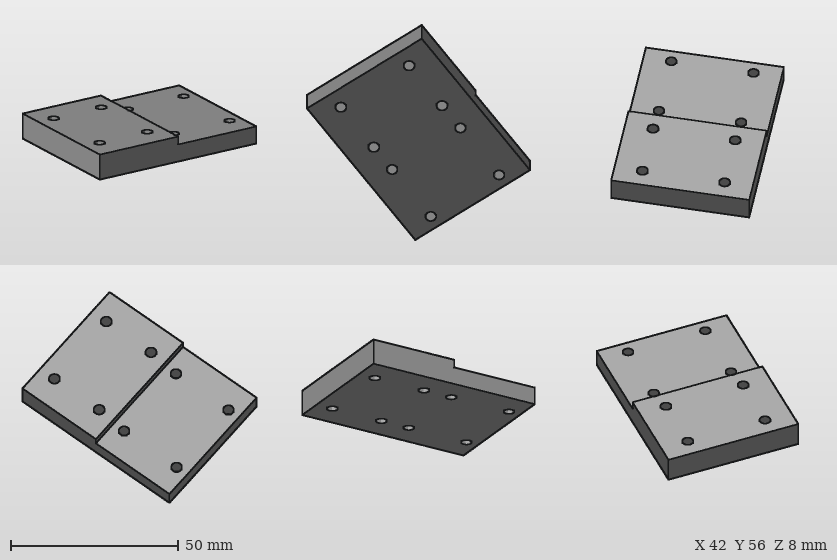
import cadquery as cq

width = 42.0
length = 56.0
front_thickness = 8.0
rear_thickness = 5.5
half_length = length / 2

hole_spacing_x = 25.0
rear_hole_diameter = 3.2
rear_hole_spacing_y = 20.0
rear_hole_center_y = 14.0
front_hole_diameter = 3.3
front_hole_spacing_y = 17.0
front_hole_center_y = -14.0


def half_plate(center_y, thickness):
    """Rectangular block covering one half of the plate's length."""
    block = cq.Workplane("XY").box(width, half_length, thickness, centered=(True, True, False))
    return block.translate((0, center_y, 0))


def hole_group(center_y, spacing_y, diameter):
    """Four vertical cutting cylinders at the corners of a rectangle."""
    return (
        cq.Workplane("XY")
        .center(0, center_y)
        .rect(hole_spacing_x, spacing_y, forConstruction=True)
        .vertices()
        .circle(diameter / 2)
        .extrude(front_thickness)
    )


front_half = half_plate(-half_length / 2, front_thickness)
rear_half = half_plate(half_length / 2, rear_thickness)
plate = front_half.union(rear_half).clean()

rear_holes = hole_group(rear_hole_center_y, rear_hole_spacing_y, rear_hole_diameter)
front_holes = hole_group(front_hole_center_y, front_hole_spacing_y, front_hole_diameter)
result = plate.cut(rear_holes).cut(front_holes)